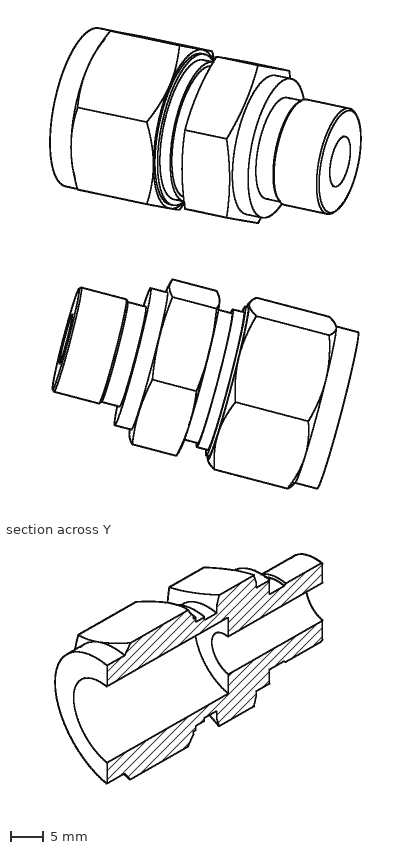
import cadquery as cq
import math

total_length = 43.4

nut_start = 3.55
nut_end = 17.45
nut_rim_end = 17.87
thread_relief_start = 19.6
body_hex_start = 22.05
body_hex_end = 30.05
flange_end = 32.7
stud_start = 35.6

nut_across_flats = 25.0
body_across_flats = 24.0
nut_chamfer_angle = 30.0
body_chamfer_angle = 15.0

collar_diameter = nut_across_flats
nut_rim_diameter = 23.8
body_thread_diameter = 22.0
thread_relief_diameter = 20.75
flange_diameter = 21.9
neck_diameter = 15.95
stud_diameter = 16.65
stud_chamfer = 0.3

tube_socket_diameter = 16.0
tube_socket_depth = 24.4
through_bore_diameter = 7.9


def cylinder(start, end, diameter):
    """Cylinder along X between two axial positions."""
    return cq.Workplane("YZ", origin=(start, 0, 0)).circle(diameter / 2).extrude(end - start)


def chamfered_hexagon(start, end, across_flats, chamfer_angle):
    """Hexagon along X whose corners are turned to a cone at both ends."""
    flat_radius = across_flats / 2
    corner_radius = flat_radius / math.cos(math.radians(30))
    cone_length = (corner_radius - flat_radius) * math.tan(math.radians(chamfer_angle))
    prism = (
        cq.Workplane("YZ", origin=(start, 0, 0))
        .transformed(rotate=(0, 0, 90))
        .polygon(6, 2 * corner_radius)
        .extrude(end - start)
    )
    turned_envelope = (
        cq.Workplane("XY")
        .moveTo(start, 0)
        .lineTo(start, flat_radius)
        .lineTo(start + cone_length, corner_radius)
        .lineTo(end - cone_length, corner_radius)
        .lineTo(end, flat_radius)
        .lineTo(end, 0)
        .close()
        .revolve(360, (0, 0, 0), (1, 0, 0))
    )
    return prism.intersect(turned_envelope)


collar = cylinder(0, nut_start, collar_diameter)
nut = chamfered_hexagon(nut_start, nut_end, nut_across_flats, nut_chamfer_angle)
nut_rim = cylinder(nut_end, nut_rim_end, nut_rim_diameter)
body_thread = cylinder(nut_rim_end, thread_relief_start, body_thread_diameter)
thread_relief = cylinder(thread_relief_start, body_hex_start, thread_relief_diameter)
body_hex = chamfered_hexagon(body_hex_start, body_hex_end, body_across_flats, body_chamfer_angle)
flange = cylinder(body_hex_end, flange_end, flange_diameter)
neck = cylinder(flange_end, stud_start, neck_diameter)
stud = cylinder(stud_start, total_length, stud_diameter).faces("<X or >X").chamfer(stud_chamfer)

tube_socket = cylinder(0, tube_socket_depth, tube_socket_diameter)
through_bore = cylinder(0, total_length, through_bore_diameter)

result = collar
for section in (nut, nut_rim, body_thread, thread_relief, body_hex, flange, neck, stud):
    result = result.union(section)
result = result.cut(tube_socket).cut(through_bore)